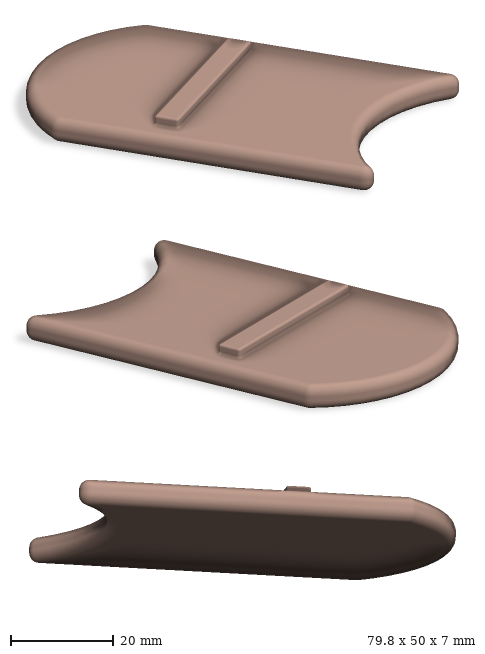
import cadquery as cq
import math

length = 79.75
width = 50.0
thickness = 5.0
edge_radius = 2.0
end_radius = 30.0

rib_x = 35.0
rib_length = 39.7
rib_width = 5.0
rib_height = 2.0
rib_rounding = 0.5

face_half_width = width / 2 - edge_radius
convex_radius = end_radius - edge_radius
concave_radius = end_radius + edge_radius
convex_center_x = end_radius
left_corner_x = convex_center_x - math.sqrt(convex_radius**2 - face_half_width**2)
right_corner_x = length - edge_radius
concave_center_x = right_corner_x + math.sqrt(concave_radius**2 - face_half_width**2)


def make_plate():
    """Flat-face outline grown by the edge radius, with both rims rounded."""
    outline = (
        cq.Workplane("XY")
        .moveTo(left_corner_x, -face_half_width)
        .lineTo(right_corner_x, -face_half_width)
        .threePointArc(
            (concave_center_x - concave_radius, 0),
            (right_corner_x, face_half_width),
        )
        .lineTo(left_corner_x, face_half_width)
        .threePointArc(
            (convex_center_x - convex_radius, 0),
            (left_corner_x, -face_half_width),
        )
        .close()
        .offset2D(edge_radius, "arc")
    )
    return outline.extrude(thickness).faces("<Z or >Z").edges().fillet(edge_radius)


def add_rib(plate):
    """Add the crosswise rib with a rounded top and a filleted foot."""
    rib = (
        cq.Workplane("XY", origin=(rib_x, 0, 0))
        .rect(rib_width, rib_length)
        .extrude(thickness + rib_height)
        .edges("|Z or >Z")
        .fillet(rib_rounding)
    )
    foot_zone = cq.selectors.BoxSelector(
        (rib_x - rib_width, -rib_length / 2 - rib_rounding, thickness - rib_rounding / 2),
        (rib_x + rib_width, rib_length / 2 + rib_rounding, thickness + rib_rounding / 2),
    )
    return plate.union(rib).edges(foot_zone).fillet(rib_rounding)


result = add_rib(make_plate())